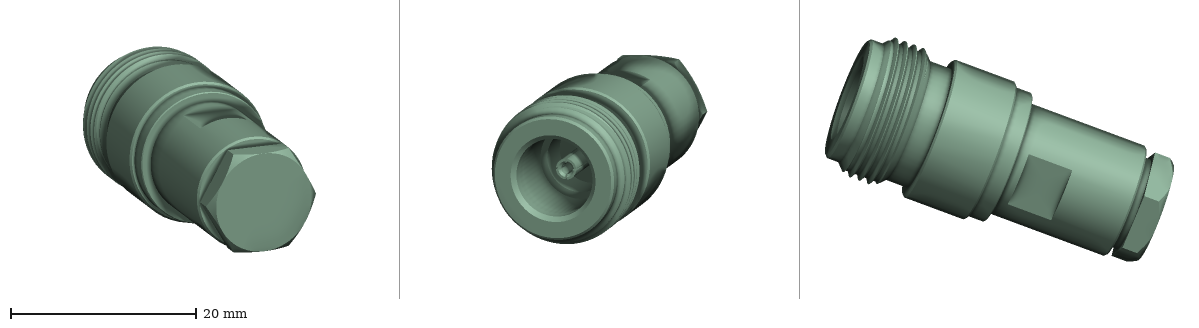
import cadquery as cq
import math

length = 35.78

collar_radius = 13.7 / 2
collar_chamfer = 0.25

thread_start = 1.55
thread_end = 7.0
thread_root_radius = 14.85 / 2
thread_crest_radius = 15.9 / 2
thread_pitch = 1.07
thread_crest_width = 0.07
thread_flank_angle = 30
thread_top_crest = 2.5
thread_embed = 0.1
thread_clearance = 0.18

flange_start = 9.4
flange_end = 16.6
flange_radius = 15.9 / 2
flange_chamfer = 0.2
step_end = 18.6
step_radius = 14.85 / 2
step_chamfer = 0.1

barrel_end = 32.35
barrel_radius = 12.7 / 2
barrel_chamfer = 0.2
flat_start = 19.85
flat_end = 24.9
flat_spacing = 11.1

neck_radius = 10.35 / 2
nut_start = 33.25
nut_across_flats = 11.1
nut_turned_radius = 12.88 / 2

socket_radius = 8.62 / 2
socket_mouth_chamfer = 0.5
socket_depth = 9.12
inner_socket_radius = 7.12 / 2
inner_socket_depth = 13.6

contact_radius = 2.3 / 2
contact_tip = 4.65
contact_hole_radius = 1.25 / 2
contact_hole_depth = 5.35
contact_hole_chamfer = 0.25
contact_slot_width = 0.2
contact_slot_depth = 4.3


def cylinder(start, end, radius):
    """Solid cylinder on the X axis."""
    return cq.Workplane("YZ", origin=(start, 0, 0)).circle(radius).extrude(end - start)


def thread_envelope():
    """Band clear of the crests that rises at 45 degrees at both ends."""
    rise = thread_crest_radius + thread_clearance - collar_radius
    return (
        cq.Workplane("XY")
        .moveTo(thread_start, 0)
        .lineTo(thread_start, collar_radius)
        .lineTo(thread_start + rise, collar_radius + rise)
        .lineTo(thread_end - rise, collar_radius + rise)
        .lineTo(thread_end, collar_radius)
        .lineTo(thread_end, 0)
        .close()
        .revolve(360, (0, 0, 0), (1, 0, 0))
    )


def thread():
    """Right-handed helical ridge on a round core, both trimmed by the conical ends of the thread."""
    turns = math.ceil((thread_end - thread_start) / thread_pitch) + 1
    base_radius = thread_root_radius - thread_embed
    half_crest = thread_crest_width / 2
    ridge_height = thread_crest_radius - base_radius
    half_base = half_crest + ridge_height * math.tan(math.radians(thread_flank_angle))
    path = cq.Wire.makeHelix(thread_pitch, turns * thread_pitch, base_radius)
    ridge = (
        cq.Workplane("XZ")
        .moveTo(base_radius, -half_base)
        .lineTo(thread_crest_radius, -half_crest)
        .lineTo(thread_crest_radius, half_crest)
        .lineTo(base_radius, half_base)
        .close()
        .sweep(cq.Workplane(path), isFrenet=True)
    )
    ridge = ridge.rotate((0, 0, 0), (0, 1, 0), 90)
    ridge = ridge.rotate((0, 0, 0), (1, 0, 0), 180)
    ridge_start = thread_top_crest - 2 * thread_pitch
    ridge = ridge.translate((ridge_start, 0, 0))
    core_start = ridge_start - thread_pitch
    core_end = ridge_start + (turns + 1) * thread_pitch
    core = cylinder(core_start, core_end, thread_root_radius)
    return core.union(ridge).intersect(thread_envelope())


def barrel():
    """Rear barrel with a recessed wrench flat on the +Z and -Z sides."""
    solid = cylinder(step_end, barrel_end, barrel_radius).faces(">X").chamfer(barrel_chamfer)
    flat_length = flat_end - flat_start
    flat_section = cq.Workplane("XY").box(flat_length, 2 * barrel_radius, flat_spacing)
    flat_section = flat_section.translate((flat_start + flat_length / 2, 0, 0))
    flat_band = cylinder(flat_start, flat_end, barrel_radius)
    return solid.cut(flat_band.cut(flat_section))


def clamp_nut():
    """Hexagonal nut, flats on +Z and -Z, with its rear corners turned to a cone."""
    nut_length = length - nut_start
    hexagon = (
        cq.Workplane("YZ", origin=(nut_start, 0, 0))
        .polygon(6, nut_across_flats, circumscribed=True)
        .extrude(nut_length)
        .rotate((0, 0, 0), (1, 0, 0), 90)
    )
    turned = cylinder(nut_start, length, nut_turned_radius)
    turned = turned.faces(">X").chamfer(nut_turned_radius - nut_across_flats / 2)
    return hexagon.intersect(turned)


def socket():
    """Space removed from the coupling end: two bores and a bevelled mouth."""
    mouth = (
        cq.Workplane("YZ")
        .circle(socket_radius + socket_mouth_chamfer)
        .workplane(offset=socket_mouth_chamfer)
        .circle(socket_radius)
        .loft(ruled=True)
    )
    bores = cylinder(0, socket_depth, socket_radius)
    return bores.union(cylinder(0, inner_socket_depth, inner_socket_radius)).union(mouth)


def centre_contact():
    """Hollow contact rising from the socket floor, split by two crossed slots."""
    contact = cylinder(contact_tip, inner_socket_depth, contact_radius)
    contact = contact.cut(cylinder(contact_tip, contact_tip + contact_hole_depth, contact_hole_radius))
    contact = (
        contact.faces("<X")
        .edges(cq.selectors.RadiusNthSelector(0))
        .chamfer(contact_hole_chamfer)
    )
    slot = cq.Workplane("XY").box(contact_slot_depth, 2 * contact_radius, contact_slot_width)
    slot = slot.translate((contact_tip + contact_slot_depth / 2, 0, 0))
    return contact.cut(slot).cut(slot.rotate((0, 0, 0), (1, 0, 0), 90))


collar = cylinder(0, flange_start, collar_radius).faces("<X").chamfer(collar_chamfer)
flange = cylinder(flange_start, flange_end, flange_radius).faces("<X or >X").chamfer(flange_chamfer)
step = cylinder(flange_end, step_end, step_radius).faces(">X").chamfer(step_chamfer)
neck = cylinder(barrel_end, nut_start, neck_radius)

body = collar.union(thread())
body = body.union(flange).union(step).union(barrel()).union(neck).union(clamp_nut())
result = body.cut(socket()).union(centre_contact())